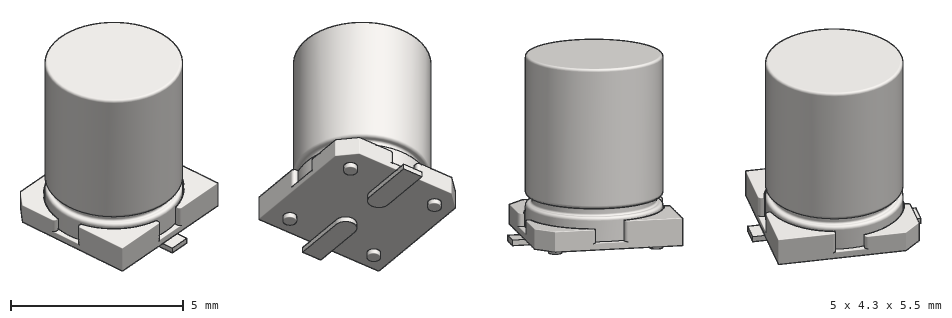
import cadquery as cq

height = 5.5
base_bottom = 0.17
notch_floor = 0.38
low_pad_top = 0.775
high_pad_top = 0.99

can_radius = 4.0 / 2
neck_radius = 3.6 / 2
top_round = 0.08
lip_round = 0.1
neck_round = 0.065
groove_bottom = 0.995
groove_top = 1.435

base_side = 4.3
base_half = base_side / 2
corner_chamfer = 0.5
notch_width = 0.86
seat_gap = 0.025
seat_radius = can_radius + seat_gap
mouth_round = 0.1
edge_round = 0.02

lead_span = 5.0
lead_width = 0.655
lead_inner_end = 0.495
pin_diameter = 0.4
pin_offset = 1.5
pin_round = 0.02


def centered_box(half_x, half_y, low, high):
    """Selector for whatever has its center in a box around the Z axis."""
    return cq.selectors.BoxSelector((-half_x, -half_y, low), (half_x, half_y, high))


def make_base():
    """Square base with two cut corners and four pads around a round seat for the can."""
    block = (
        cq.Workplane("XY", origin=(0, 0, base_bottom))
        .rect(base_side, base_side)
        .extrude(high_pad_top - base_bottom)
        .edges("|Z and <X")
        .chamfer(corner_chamfer)
        .edges("|Z")
        .fillet(edge_round)
    )
    above_low_pads = (
        cq.Workplane("XY", origin=(-base_half / 2, 0, low_pad_top))
        .rect(base_half, base_side)
        .extrude(high_pad_top - low_pad_top)
    )
    floor = cq.Workplane("XY", origin=(0, 0, notch_floor))
    recess_depth = high_pad_top - notch_floor
    seat = floor.circle(seat_radius).extrude(recess_depth)
    notch_x = floor.rect(base_side, notch_width).extrude(recess_depth)
    notch_y = floor.rect(notch_width, base_side).extrude(recess_depth)
    base = block.cut(above_low_pads).cut(seat).cut(notch_x).cut(notch_y)

    for axis, reach in (("X", (base_side, notch_width)), ("Y", (notch_width, base_side))):
        mouths = centered_box(*reach, base_bottom, height)
        base = base.edges("|Z").edges(mouths).edges(f"<{axis} or >{axis}").fillet(mouth_round)

    floor_level = centered_box(base_side, base_side, notch_floor - edge_round, notch_floor + edge_round)
    for outward in ("<X", ">X", "<Y", ">Y"):
        base = base.edges(floor_level).edges(outward).fillet(edge_round)
    pad_levels = centered_box(base_side, base_side, low_pad_top - edge_round, height)
    base = base.faces("+Z").faces(pad_levels).edges().fillet(edge_round)
    return base.faces("<Z").edges().fillet(edge_round)


def make_can():
    """Revolved can with a rounded groove between its two lips."""
    lip_edge = can_radius - lip_round
    neck_edge = neck_radius + neck_round
    lower_lip = groove_bottom + lip_round
    upper_lip = groove_top - lip_round
    profile = (
        cq.Workplane("XZ")
        .moveTo(0, notch_floor)
        .lineTo(can_radius, notch_floor)
        .lineTo(can_radius, groove_bottom)
        .tangentArcPoint((lip_edge, lower_lip), relative=False)
        .lineTo(neck_edge, lower_lip)
        .tangentArcPoint((neck_radius, lower_lip + neck_round), relative=False)
        .lineTo(neck_radius, upper_lip - neck_round)
        .tangentArcPoint((neck_edge, upper_lip), relative=False)
        .lineTo(lip_edge, upper_lip)
        .tangentArcPoint((can_radius, groove_top), relative=False)
        .lineTo(can_radius, height)
        .lineTo(0, height)
        .close()
    )
    return profile.revolve(360, (0, 0, 0), (0, 1, 0)).faces(">Z").edges().fillet(top_round)


def make_lead(side):
    """Flat lead under the base with a round inner end; side is -1 or 1 along X."""
    end_radius = lead_width / 2
    outer_end = side * lead_span / 2
    arc_start = side * (lead_inner_end + end_radius)
    return (
        cq.Workplane("XY")
        .moveTo(arc_start, -end_radius)
        .lineTo(outer_end, -end_radius)
        .lineTo(outer_end, end_radius)
        .lineTo(arc_start, end_radius)
        .threePointArc((side * lead_inner_end, 0), (arc_start, -end_radius))
        .close()
        .extrude(base_bottom)
    )


def make_pins():
    """Four round standoff pins under the base."""
    return (
        cq.Workplane("XY")
        .rect(2 * pin_offset, 2 * pin_offset, forConstruction=True)
        .vertices()
        .circle(pin_diameter / 2)
        .extrude(base_bottom)
        .edges("<Z")
        .fillet(pin_round)
    )


result = make_base().union(make_can()).union(make_pins())
for lead_side in (-1, 1):
    result = result.union(make_lead(lead_side))